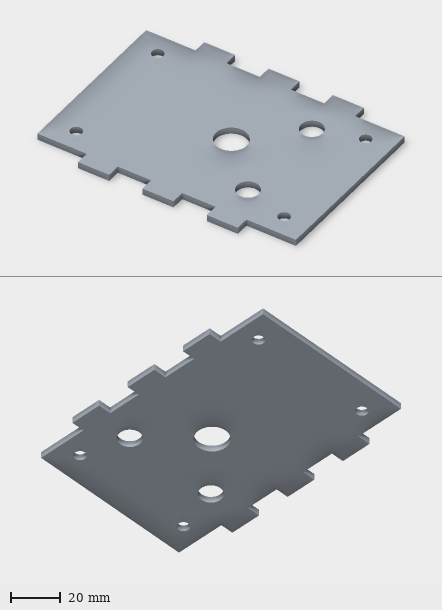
import cadquery as cq

plate_length = 125.0
plate_width = 80.0
thickness = 3.1

overall_width = 92.8
tab_length = 15.0
tab_pitch = 31.1
tabs_per_edge = 3

corner_hole_diameter = 5.5
corner_hole_spacing_x = 100.5
corner_hole_spacing_y = 60.0
main_hole_diameter = 15.0
main_hole_x = 5.0
side_hole_diameter = 10.5
side_hole_x = 28.5
side_hole_spacing_y = 47.0


def make_plate():
    """Plate body crossed by strips whose ends form the opposing tabs."""
    body = cq.Workplane("XY").box(plate_length, plate_width, thickness)
    tab_strips = (
        cq.Workplane("XY")
        .rarray(tab_pitch, 1.2, tabs_per_edge, 1)
        .box(tab_length, overall_width, thickness)
    )
    return body.union(tab_strips)


def drill(plate, centers, diameter):
    """Cut round through holes at the given XY centers."""
    return plate.faces(">Z").workplane(origin=(0, 0, 0)).pushPoints(centers).hole(diameter)


corner_centers = [
    (side_x * corner_hole_spacing_x / 2, side_y * corner_hole_spacing_y / 2)
    for side_x in (-1, 1)
    for side_y in (-1, 1)
]
side_centers = [(side_hole_x, side_y * side_hole_spacing_y / 2) for side_y in (-1, 1)]

result = make_plate()
result = drill(result, corner_centers, corner_hole_diameter)
result = drill(result, [(main_hole_x, 0)], main_hole_diameter)
result = drill(result, side_centers, side_hole_diameter)